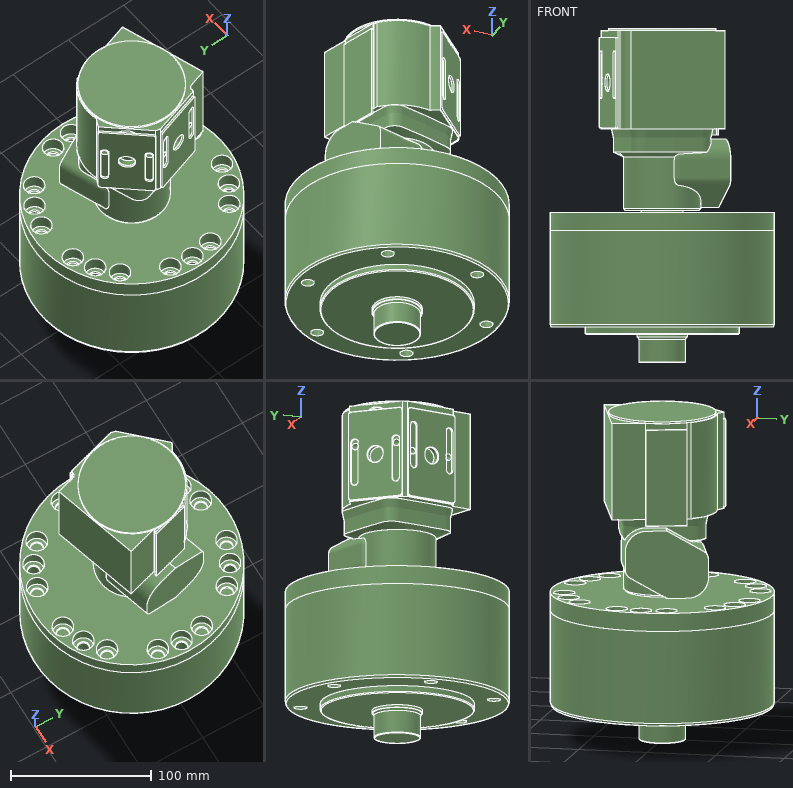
import cadquery as cq
import math

total_height = 238.0
chuck_radius = 80.0

rod_radius = 16.7
rod_end_chamfer = 0.5
collar_radius = 18.0
collar_small_radius = 17.5
rod_shoulder_z = 16.5
collar_edge_z = 18.3

pilot_radius = 55.0
pilot_chamfer = 0.7
pilot_bottom_z = 20.2
housing_bottom_z = 25.2
housing_chamfer_height = 2.0
housing_chamfer_width = 0.7
cover_bottom_z = 94.0
cover_top_z = 107.1

pitch_radius = 70.0
through_hole_count = 6
through_hole_radius = 4.5
screw_hole_count = 12
screw_hole_radius = 4.8
screw_start_angle = 15
counterbore_radius = 7.6
counterbore_depth = 11.2

head_angle = 17
spindle_radius = 15.0
neck_bottom_z = 108.3
neck_radius = 27.6
neck_chamfer = 1.5
neck_top_z = 146.5
collar_plate_bottom_z = 150.0
collar_plate_top_z = 160.2
collar_plate_peak = 30.2
collar_plate_corner_half = 29.5
collar_plate_corner_radius = 9.3
flare_growth = 1.5

block_half = 29.8
block_length = 42.1
block_bottom_z = 110.5
block_top_z = 159.5
block_round = 15.0
block_slope = 30
block_edge_fillet = 6.7
block_end_fillet = 4.3

head_bottom_z = 166.7
cap_thickness = 1.5
cap_radius = 38.3
head_top_z = total_height - cap_thickness
head_half_width = 35.0
head_front = 38.8
head_back_radius = 39.3
mount_distance = 39.3
mount_half = 20.5
front_step_end = 21.2
back_arc_end_angle = 85
back_hollow_radius = 42.0
back_hollow_angle = 89
mount_fillet = 2.9
mount_angles = (180, 120)

plate_thickness = 1.5
plate_half = 20.7
plate_bottom_z = 167.5
plate_top_z = 232.0
plate_corner = 2.0
slot_spacing = 32.0
slot_width = 5.7
slot_length = 33.8
slot_centre_z = (205.2, 195.0)
window_radius = 6.2
window_z = 199.5
window_depth = 4.3
dimple_radius = 2.5
dimple_z = (201.0, 206.7)
recess_radius = 8.8
recess_z = 225.5
recess_depth = 2.5

strip_thickness = 1.5
strip_pad_thickness = 1.0
strip_half = 14.8
strip_bottom_z = 162.1


def cylinder(radius, bottom, top):
    return cq.Workplane("XY").workplane(offset=bottom).circle(radius).extrude(top - bottom)


def at_head_angle(body):
    """Turn a body from the head's own axes to its place on the chuck."""
    return body.rotate((0, 0, 0), (0, 0, 1), head_angle)


def around(local_angle, body):
    """Turn a body built facing +X so that it faces the given angle on the head."""
    return body.rotate((0, 0, 0), (0, 0, 1), local_angle)


def bolt_circle(count, start_angle, radius, bottom, top):
    return (
        cq.Workplane("XY")
        .workplane(offset=bottom)
        .polarArray(pitch_radius, start_angle, 360, count)
        .circle(radius)
        .extrude(top - bottom)
    )


def make_rod():
    """Draw rod with a chamfered free end and a collar against the housing."""
    profile = [
        (0, 0),
        (rod_radius - rod_end_chamfer, 0),
        (rod_radius, rod_end_chamfer),
        (rod_radius, rod_shoulder_z),
        (collar_small_radius, collar_edge_z),
        (collar_radius, collar_edge_z),
        (collar_radius, pilot_bottom_z),
        (0, pilot_bottom_z),
    ]
    return cq.Workplane("XZ").polyline(profile).close().revolve(360, (0, 0, 0), (0, 1, 0))


def make_housing():
    """Cylinder housing with a pilot disc below and clear holes for bolts."""
    profile = [
        (0, pilot_bottom_z),
        (pilot_radius - pilot_chamfer, pilot_bottom_z),
        (pilot_radius, pilot_bottom_z + pilot_chamfer),
        (pilot_radius, housing_bottom_z),
        (chuck_radius - housing_chamfer_width, housing_bottom_z),
        (chuck_radius, housing_bottom_z + housing_chamfer_height),
        (chuck_radius, cover_bottom_z),
        (0, cover_bottom_z),
    ]
    body = cq.Workplane("XZ").polyline(profile).close().revolve(360, (0, 0, 0), (0, 1, 0))
    holes = bolt_circle(through_hole_count, 0, through_hole_radius, housing_bottom_z, cover_bottom_z)
    return body.cut(holes)


def make_cover():
    """Cover disc with counterbored bolt holes."""
    body = cylinder(chuck_radius, cover_bottom_z, cover_top_z)
    counterbore_z = cover_top_z - counterbore_depth
    patterns = (
        (through_hole_count, 0, through_hole_radius),
        (screw_hole_count, screw_start_angle, screw_hole_radius),
    )
    for count, start_angle, radius in patterns:
        body = body.cut(bolt_circle(count, start_angle, radius, cover_bottom_z, cover_top_z))
        body = body.cut(bolt_circle(count, start_angle, counterbore_radius, counterbore_z, cover_top_z))
    return body


def collar_plate_outline():
    """Square outline whose sides rise very slightly to their middles."""
    peak = collar_plate_peak
    corner = collar_plate_corner_half
    points = []
    for x, y in ((1, 0), (0, 1), (-1, 0), (0, -1)):
        points.append((peak * x, peak * y))
        points.append((corner * (x - y), corner * (y + x)))
    return points


def make_collar_plate():
    """Rounded square plate that flares out above and narrows to the round neck below."""
    plate_height = collar_plate_top_z - collar_plate_bottom_z
    plate = cq.Workplane("XY").workplane(offset=collar_plate_bottom_z)
    plate = plate.polyline(collar_plate_outline()).close().extrude(plate_height)
    for end in (">(1, 1, 0)", "<(1, 1, 0)", ">(1, -1, 0)", "<(1, -1, 0)"):
        plate = plate.edges("|Z").edges(end).fillet(collar_plate_corner_radius)
    flare_height = head_bottom_z - collar_plate_top_z
    flare_angle = math.degrees(math.atan2(flare_growth, flare_height))
    flare_base = plate.faces(">Z").wires().toPending().workplane()
    flare = flare_base.extrude(flare_height, taper=-flare_angle, combine=False)
    square = plate.faces("<Z").wires().val()
    circle = cq.Workplane("XY").workplane(offset=neck_top_z).circle(neck_radius).wires().val()
    transition = cq.Workplane(cq.Solid.makeLoft([circle, square], True))
    return plate.union(flare).union(transition)


def make_connection_block():
    """Block with two opposite rounded corners and two opposite sloped corners."""
    drop = block_half * math.tan(math.radians(block_slope))
    profile = [
        (-block_half, block_top_z),
        (0, block_top_z),
        (block_half, block_top_z - drop),
        (block_half, block_bottom_z),
        (0, block_bottom_z),
        (-block_half, block_bottom_z + drop),
    ]
    block = cq.Workplane("YZ").polyline(profile).close().extrude(block_length)
    top_left, _, top_right, bottom_right, _, bottom_left = profile
    corner_fillets = (
        (top_left, block_round),
        (bottom_right, block_round),
        (top_right, block_edge_fillet),
        (bottom_left, block_edge_fillet),
    )
    for (y, z), radius in corner_fillets:
        corner_edge = cq.selectors.NearestToPointSelector((block_length / 2, y, z))
        block = block.edges(corner_edge).fillet(radius)
    return block.faces("<X").edges().fillet(block_end_fillet)


def make_coupling():
    """Spindle, round neck, collar plate and connection block as one solid."""
    spindle = cylinder(spindle_radius, cover_top_z, neck_bottom_z)
    neck = cylinder(neck_radius, neck_bottom_z, neck_top_z).faces("<Z").chamfer(neck_chamfer)
    return at_head_angle(spindle.union(neck).union(make_collar_plate()).union(make_connection_block()))


def polar_point(distance, side, angle):
    """Point at a distance along a direction and a step sideways, anticlockwise positive."""
    a = math.radians(angle)
    return (
        distance * math.cos(a) - side * math.sin(a),
        distance * math.sin(a) + side * math.cos(a),
    )


def face_cylinder(radius, z, inner):
    """Cylinder on the +X mounting face, running outwards from a depth inside it."""
    outer = mount_distance + plate_thickness
    return cq.Workplane("YZ").workplane(offset=inner).center(0, z).circle(radius).extrude(outer - inner)


def far_side_slab(inner, thickness, bottom, top):
    """Upright slab on the +X side of the head, from an inner distance outwards."""
    slab = cq.Workplane("XY").workplane(offset=bottom).center(inner + thickness / 2, 0)
    return slab.rect(thickness, 2 * strip_half).extrude(top - bottom)


def make_head_block():
    """Plain head with its two mounting faces, top cap and far-side pad."""
    first, second = mount_angles
    back_join = (head_half_width, math.sqrt(head_back_radius**2 - head_half_width**2))
    back_join_angle = math.degrees(math.acos(head_half_width / head_back_radius))
    back_middle_angle = (back_join_angle + back_arc_end_angle) / 2
    back_end = polar_point(head_back_radius, 0, back_arc_end_angle)
    back_hollow = polar_point(back_hollow_radius, 0, back_hollow_angle)
    fillet_bulge = mount_fillet * (1 - math.sqrt(0.5))
    fillet_middle = (-head_half_width - fillet_bulge, -front_step_end - fillet_bulge)
    outline = (
        cq.Workplane("XY")
        .workplane(offset=head_bottom_z)
        .moveTo(-head_half_width, -head_front)
        .lineTo(head_half_width, -head_front)
        .lineTo(*back_join)
        .threePointArc(polar_point(head_back_radius, 0, back_middle_angle), back_end)
        .threePointArc(back_hollow, polar_point(mount_distance, -mount_half, second))
        .lineTo(*polar_point(mount_distance, mount_half, second))
        .lineTo(*polar_point(mount_distance, -mount_half, first))
        .lineTo(*polar_point(mount_distance, mount_half, first))
        .lineTo(-head_half_width - mount_fillet, -front_step_end)
        .threePointArc(fillet_middle, (-head_half_width, -front_step_end - mount_fillet))
        .close()
    )
    body = outline.extrude(head_top_z - head_bottom_z)
    body = body.union(cylinder(cap_radius, head_top_z, total_height))
    return body.union(far_side_slab(head_half_width, strip_pad_thickness, head_bottom_z, head_top_z))


def make_head():
    """Head with a window pocket and two dimples behind each plate."""
    body = make_head_block()
    for angle, z in zip(mount_angles, dimple_z):
        window = face_cylinder(window_radius, window_z, mount_distance - window_depth)
        body = body.cut(around(angle, window))
        for side in (-1, 1):
            dimple = cq.Workplane("XY").sphere(dimple_radius)
            dimple = dimple.translate((mount_distance, side * slot_spacing / 2, z))
            body = body.cut(around(angle, dimple))
    recess = face_cylinder(recess_radius, recess_z, mount_distance - recess_depth)
    body = body.cut(around(mount_angles[1], recess))
    return at_head_angle(body)


def make_plate(angle, slot_z):
    """Slotted plate with a round window, on the mounting face at the given angle."""
    height = plate_top_z - plate_bottom_z
    plate = (
        cq.Workplane("YZ")
        .workplane(offset=mount_distance)
        .center(0, plate_bottom_z + height / 2)
        .rect(2 * plate_half, height)
        .extrude(plate_thickness)
        .edges("|X")
        .fillet(plate_corner)
    )
    slots = (
        cq.Workplane("YZ")
        .workplane(offset=mount_distance)
        .pushPoints([(-slot_spacing / 2, slot_z), (slot_spacing / 2, slot_z)])
        .slot2D(slot_length, slot_width, 90)
        .extrude(plate_thickness)
    )
    plate = plate.cut(slots).cut(face_cylinder(window_radius, window_z, mount_distance))
    return at_head_angle(around(angle, plate))


def make_strip():
    """Thin strip on the far-side pad, reaching below the head."""
    inner = head_half_width + strip_pad_thickness
    return at_head_angle(far_side_slab(inner, strip_thickness, strip_bottom_z, plate_top_z))


rod = make_rod()
housing = make_housing()
cover = make_cover()
coupling = make_coupling()
head = make_head()
plates = [make_plate(angle, z).val() for angle, z in zip(mount_angles, slot_centre_z)]
strip = make_strip()
bodies = [rod, housing, cover, coupling, head, strip]
result = cq.Compound.makeCompound([body.val() for body in bodies] + plates)